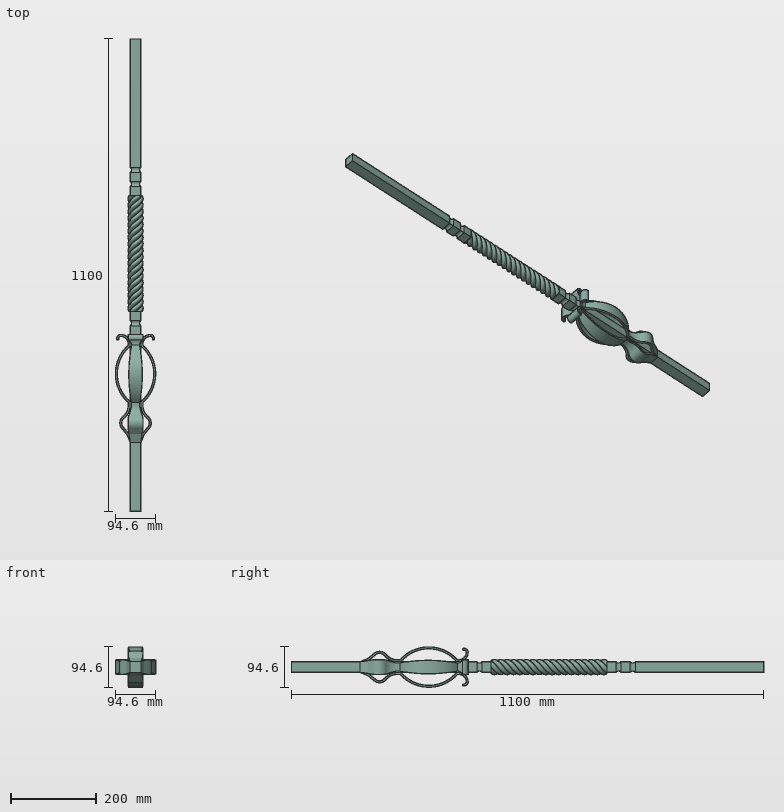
import cadquery as cq
import math


bar_length = 1100
bar_size = 25
bar_half = bar_size / 2
bar_faces = 4

rope_middle = 600
rope_length = 270
strand_count = 4
strand_radius = 9
strand_pitch = 60
rope_start = rope_middle - rope_length / 2
rope_end = rope_start + rope_length

group_distance = 178.5
groove_offset = 16.5
groove_width = 12
groove_depth = 3

strip_count = bar_faces
strip_thickness = 5
half_thickness = strip_thickness / 2
seat = bar_half + half_thickness

basket_span = 94.56
basket_y = 320
bow_radius = 87

tail_end_y = 160
tail_kink_y = 179
tail_top_y = 193
tail_low_angle = math.radians(23)
tail_high_angle = math.radians(40)
bulge_radius = 17
bulge_bend_radius = 35

scroll_base_y = 390
scroll_bend_radius = 19.5
scroll_curl_radius = 7
scroll_curl_angle = math.radians(100)

tail_half_width = bar_half
bulge_half_width = 17.5
waist_half_width = 9
basket_half_width = 16
scroll_half_width = 17.5

lower_waist_y = 250
bulge_wide_y = 212
upper_waist_y = 387
scroll_wide_y = 403


def on_circle(center, radius, angle):
    return (center[0] + radius * math.cos(angle), center[1] + radius * math.sin(angle))


def make_rope():
    """Four overlapping round strands, wound around the Y axis."""
    step_angle = math.tau / strand_count
    valley = 2 * strand_radius * math.cos(step_angle / 2)
    peak = 2 * strand_radius
    section = cq.Workplane("XZ", origin=(0, rope_start, 0)).moveTo(valley, 0)
    for strand in range(strand_count):
        crest = on_circle((0, 0), peak, (strand + 0.5) * step_angle)
        end = on_circle((0, 0), valley, (strand + 1) * step_angle)
        section = section.threePointArc(crest, end)
    turns = rope_length / strand_pitch
    return section.close().twistExtrude(-rope_length, 360 * turns)


def make_square_bar(start_y, end_y):
    length = end_y - start_y
    return cq.Workplane("XY").box(bar_size, length, bar_size).translate((0, start_y + length / 2, 0))


def cut_groove_pair(bar, group_y):
    """Cut two round grooves across each of the four faces of the bar."""
    groove_radius = ((groove_width / 2) ** 2 + groove_depth**2) / (2 * groove_depth)
    axis_height = bar_half - groove_depth + groove_radius
    centers = [(group_y - groove_offset, axis_height), (group_y + groove_offset, axis_height)]
    cutters = cq.Workplane("YZ").pushPoints(centers).circle(groove_radius).extrude(bar_size, both=True)
    for face in range(bar_faces):
        bar = bar.cut(cutters.rotate((0, 0, 0), (0, 1, 0), 360 / bar_faces * face))
    return bar


def make_bar():
    """Square bar with a rope twist in place of its middle stretch."""
    lower_bar = cut_groove_pair(make_square_bar(0, rope_start), rope_middle - group_distance)
    upper_bar = cut_groove_pair(make_square_bar(rope_end, bar_length), rope_middle + group_distance)
    return lower_bar.union(make_rope()).union(upper_bar)


def strip_side_profile():
    """Side outline of a strip in the YZ plane: its bent middle line, thickened."""
    outer_kink_height = bar_half + (tail_kink_y - tail_end_y) * math.tan(tail_low_angle)
    outer_top_height = outer_kink_height + (tail_top_y - tail_kink_y) * math.tan(tail_high_angle)
    kink_angle = (tail_low_angle + tail_high_angle) / 2
    kink_shift = half_thickness / math.cos(tail_high_angle - kink_angle)
    tail_end = on_circle((tail_end_y, bar_half), half_thickness, tail_low_angle - math.pi / 2)
    tail_kink = on_circle((tail_kink_y, outer_kink_height), kink_shift, kink_angle - math.pi / 2)
    tail_top = on_circle((tail_top_y, outer_top_height), half_thickness, tail_high_angle - math.pi / 2)

    crest_center = on_circle(tail_top, bulge_radius, tail_high_angle - math.pi / 2)
    crest_peak = on_circle(crest_center, bulge_radius, math.pi / 2)
    bend_angle = math.asin((seat + bulge_bend_radius - crest_center[1]) / (bulge_radius + bulge_bend_radius))
    crest_end = on_circle(crest_center, bulge_radius, bend_angle)
    neck_center = on_circle(crest_center, bulge_radius + bulge_bend_radius, bend_angle)
    neck_middle = on_circle(neck_center, bulge_bend_radius, (bend_angle + 2.5 * math.pi) / 2)
    neck_end = (neck_center[0], seat)

    bow_peak = (basket_y, basket_span / 2 - half_thickness)
    bow_center_height = bow_peak[1] - bow_radius
    bow_half_length = math.sqrt(bow_radius**2 - (seat - bow_center_height) ** 2)
    lower_foot = (basket_y - bow_half_length, seat)
    upper_foot = (basket_y + bow_half_length, seat)

    bend_center = (scroll_base_y, seat + scroll_bend_radius)
    bend_middle = on_circle(bend_center, scroll_bend_radius, -math.pi / 4)
    bend_end = on_circle(bend_center, scroll_bend_radius, 0)
    curl_center = (bend_end[0] - scroll_curl_radius, bend_end[1])
    curl_middle = on_circle(curl_center, scroll_curl_radius, scroll_curl_angle / 2)
    curl_end = on_circle(curl_center, scroll_curl_radius, scroll_curl_angle)

    middle_line = (
        cq.Workplane("YZ")
        .moveTo(*tail_end)
        .lineTo(*tail_kink)
        .lineTo(*tail_top)
        .threePointArc(crest_peak, crest_end)
        .threePointArc(neck_middle, neck_end)
        .lineTo(*lower_foot)
        .threePointArc(bow_peak, upper_foot)
        .lineTo(scroll_base_y, seat)
        .threePointArc(bend_middle, bend_end)
        .threePointArc(curl_middle, curl_end)
    )
    return middle_line.offset2D(half_thickness)


def strip_plan():
    """Width outline of a strip in the XY plane, as a block."""
    along = (0, 1)
    widest_point = (basket_half_width, (lower_waist_y + upper_waist_y) / 2)
    plan_end_y = scroll_wide_y + scroll_bend_radius
    half = (
        cq.Workplane("XY")
        .moveTo(0, tail_end_y)
        .lineTo(tail_half_width, tail_end_y)
        .lineTo(bulge_half_width, tail_top_y)
        .lineTo(bulge_half_width, bulge_wide_y)
        .spline([(waist_half_width, lower_waist_y)], tangents=[along, along], includeCurrent=True)
        .threePointArc(widest_point, (waist_half_width, upper_waist_y))
        .spline([(scroll_half_width, scroll_wide_y)], tangents=[along, along], includeCurrent=True)
        .lineTo(scroll_half_width, plan_end_y)
        .lineTo(0, plan_end_y)
        .close()
        .extrude(basket_span)
    )
    return half.union(half.mirror("YZ"))


def make_strip():
    """Strip on the +Z face of the bar, mitred at 45 degrees against its neighbours."""
    strip = strip_side_profile().extrude(scroll_half_width, both=True)
    quadrant = (
        cq.Workplane("XZ")
        .polyline([(0, 0), (basket_span, basket_span), (-basket_span, basket_span)])
        .close()
        .extrude(-bar_length)
    )
    return strip.intersect(strip_plan()).intersect(quadrant).cut(make_square_bar(0, bar_length))


bar = make_bar()
strip = make_strip()
strips = [
    strip.rotate((0, 0, 0), (0, 1, 0), 360 / strip_count * position) for position in range(strip_count)
]

result = cq.Compound.makeCompound([bar.val(), *[copy.val() for copy in strips]])